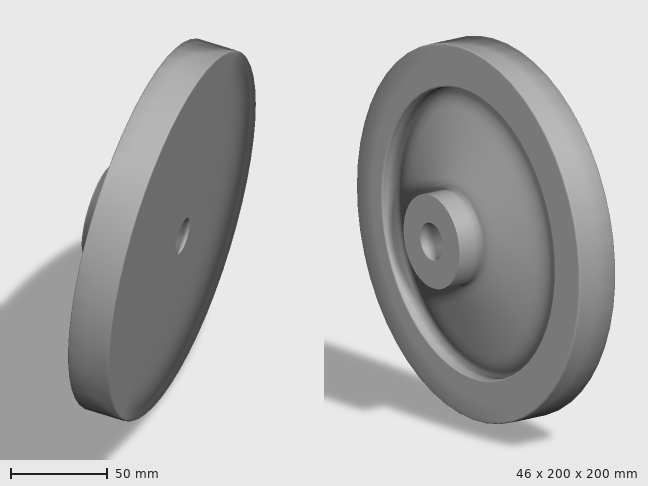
import cadquery as cq
import math

wheel_diameter = 200
total_width = 46
rim_width = 23.0
recess_diameter = 154
hub_diameter = 50
hub_length = 14.5
bore_diameter = 20
cone_angle = 20
rim_edge_radius = 1.0
root_radius = 2

wheel_radius = wheel_diameter / 2
recess_radius = recess_diameter / 2
hub_radius = hub_diameter / 2
bore_radius = bore_diameter / 2

hub_face = -total_width / 2
back_face = total_width / 2
rim_face = back_face - rim_width
cone_start = hub_face + hub_length
cone_end = cone_start + (recess_radius - hub_radius) * math.tan(math.radians(cone_angle))


def edges_at(x, radius):
    """Select the circular edge of the given radius in the plane at x."""
    tolerance = 0.02
    reach = radius + tolerance
    inner_reach = radius - tolerance
    near_plane = cq.selectors.BoxSelector(
        (x - tolerance, -reach, -reach), (x + tolerance, reach, reach), boundingbox=True
    )
    inside = cq.selectors.BoxSelector(
        (x - tolerance, -inner_reach, -inner_reach),
        (x + tolerance, inner_reach, inner_reach),
        boundingbox=True,
    )
    return near_plane - inside


wheel = (
    cq.Workplane("XY")
    .polyline([
        (hub_face, bore_radius),
        (hub_face, hub_radius),
        (cone_start, hub_radius),
        (cone_end, recess_radius),
        (rim_face, recess_radius),
        (rim_face, wheel_radius),
        (back_face, wheel_radius),
        (back_face, bore_radius),
    ])
    .close()
    .revolve(360, (0, 0, 0), (1, 0, 0))
)

for x, radius in [(cone_start, hub_radius), (cone_end, recess_radius)]:
    wheel = wheel.edges(edges_at(x, radius)).fillet(root_radius)

for x, radius in [(rim_face, recess_radius), (rim_face, wheel_radius), (back_face, wheel_radius)]:
    wheel = wheel.edges(edges_at(x, radius)).fillet(rim_edge_radius)

result = wheel